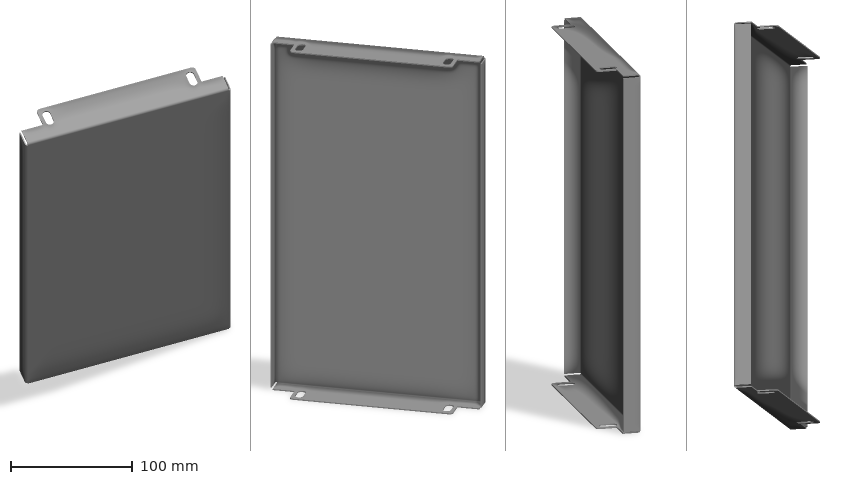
import cadquery as cq

depth = 32.0
width = 179.0
height = 306.0

sheet = 1.0
bend_radius = 2.0
inner_bend_radius = bend_radius - sheet
flange_depth = 15.0

tab_width = 138.0
tab_corner_radius = 3.0
slot_length = 15.0
slot_width = 6.7
slot_end_margin = 4.0
slot_side_margin = 6.5

flat_width = width - 2 * bend_radius
flat_height = height - 2 * bend_radius

back_x = depth / 2
front_x = -depth / 2
flange_front_x = back_x - flange_depth


def folded_channel(outer_height, length, reach):
    """U-shaped sheet in the XZ plane, extruded symmetrically along Y, with rounded folds."""
    outer = (
        cq.Workplane("XY")
        .box(reach, length, outer_height)
        .translate((back_x - reach / 2, 0, 0))
        .edges(">X and |Y")
        .fillet(bend_radius)
    )
    inner = (
        cq.Workplane("XY")
        .box(reach, length, outer_height - 2 * sheet)
        .translate((back_x - sheet - reach / 2, 0, 0))
        .edges(">X and |Y")
        .fillet(inner_bend_radius)
    )
    return outer.cut(inner)


def flange_outline():
    """Plan shape of the top and bottom flanges, with the slotted tab."""
    base_length = back_x - flange_front_x
    base = (
        cq.Workplane("XY")
        .box(base_length, flat_width, height)
        .translate((back_x - base_length / 2, 0, 0))
    )
    tab = (
        cq.Workplane("XY")
        .box(depth, tab_width, height)
        .edges("<X and |Z")
        .fillet(tab_corner_radius)
    )
    slot_x = front_x + slot_end_margin + slot_length / 2
    slot_y = tab_width / 2 - slot_side_margin
    slots = (
        cq.Workplane("XY")
        .pushPoints([(slot_x, -slot_y), (slot_x, slot_y)])
        .slot2D(slot_length, slot_width)
        .extrude(height / 2, both=True)
    )
    return base.union(tab).cut(slots)


end_flanges = folded_channel(height, flat_width, depth).intersect(flange_outline())

side_flanges = folded_channel(width, flat_height, flange_depth).rotate((0, 0, 0), (1, 0, 0), 90)

result = end_flanges.union(side_flanges)